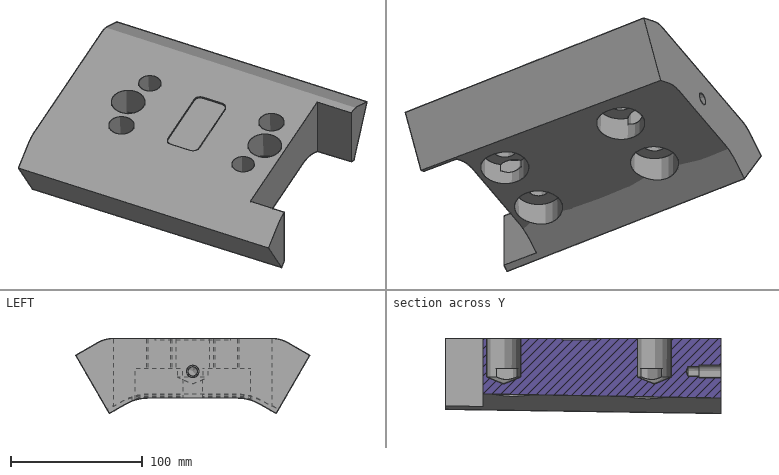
import cadquery as cq
import math

length = 209.6
width = 178.0
height = 57.2
flank_angle = math.radians(30.0)

top_flat_half = 60.0
top_bend_radius = 25.0
underside_depth = 45.5
underside_bend_radius = 35.0
underside_draft = math.radians(1.0)

notch_start = 181.1
notch_half_width = 60.4

recess_center_x = 108.0
recess_length = 25.8
recess_width = 57.5
recess_depth = 1.3
recess_corner_radius = 5.0

blind_hole_offset = 57.2
blind_hole_diameter = 25.5
blind_hole_depth = 29.4
bolt_offset_x = 51.0
bolt_offset_y = 25.5
small_bolt_diameter = 17.0
large_bolt_diameter = 19.3
counterbore_diameter = 36.5
counterbore_ceiling = 23.0

end_hole_diameter = 9.5
end_hole_core_diameter = 7.1
end_hole_wide_depth = 16.8
end_hole_level = 25.2
end_hole_depth = 25.2

drill_tip_angle = math.radians(135.0)

half_width = width / 2
slope = math.tan(flank_angle)


def bend_points(flat_half, flat_z, radius):
    """Middle and end of the bend that leads from a flat to its +Y flank."""
    def on_bend(angle):
        return flat_half + radius * math.sin(angle), flat_z - radius * (1 - math.cos(angle))
    return on_bend(flank_angle / 2), on_bend(flank_angle)


def mirrored(point):
    """The same point on the -Y side."""
    return -point[0], point[1]


def side_wall_corners():
    """Upper and lower corner of the +Y side wall at the X = 0 end."""
    _, bend_end = bend_points(top_flat_half, 0, top_bend_radius)
    shoulder = (half_width, bend_end[1] - (half_width - bend_end[0]) * slope)
    foot = (half_width - (height + shoulder[1]) * slope, -height)
    return shoulder, foot


def solid_block():
    """Block with a bent top and inclined side walls square to the flanks."""
    bend_middle, bend_end = bend_points(top_flat_half, 0, top_bend_radius)
    shoulder, foot = side_wall_corners()
    return (
        cq.Workplane("YZ")
        .moveTo(-top_flat_half, 0)
        .lineTo(top_flat_half, 0)
        .threePointArc(bend_middle, bend_end)
        .lineTo(*shoulder)
        .lineTo(*foot)
        .lineTo(*mirrored(foot))
        .lineTo(*mirrored(shoulder))
        .lineTo(*mirrored(bend_end))
        .threePointArc(mirrored(bend_middle), (-top_flat_half, 0))
        .close()
        .extrude(length)
    )


def underside_wire(x, flat_half):
    """Closed outline of the hollow below the block at position x."""
    rise = x * math.tan(underside_draft)
    flat_z = rise - underside_depth
    radius = underside_bend_radius + rise
    bend_middle, bend_end = bend_points(flat_half, flat_z, radius)
    flank_end = (half_width, bend_end[1] - (half_width - bend_end[0]) * slope)
    floor = (half_width, -2 * height)
    wire = (
        cq.Workplane("YZ", origin=(x, 0, 0))
        .moveTo(-flat_half, flat_z)
        .lineTo(flat_half, flat_z)
        .threePointArc(bend_middle, bend_end)
        .lineTo(*flank_end)
        .lineTo(*floor)
        .lineTo(*mirrored(floor))
        .lineTo(*mirrored(flank_end))
        .lineTo(*mirrored(bend_end))
        .threePointArc(mirrored(bend_middle), (-flat_half, flat_z))
        .close()
    )
    return wire.val()


def underside_hollow():
    """Drafted hollow whose flat and flanks all lean by the draft angle."""
    _, foot = side_wall_corners()
    bend_apex_y = foot[0] - (height - underside_depth) / slope
    flat_half = bend_apex_y - underside_bend_radius * math.tan(flank_angle / 2)
    wires = [underside_wire(x, flat_half) for x in (0, length)]
    return cq.Workplane(cq.Solid.makeLoft(wires, True))


def drilled_hole(diameter, depth):
    """Blind hole along -Z from the origin, with a conical drill tip."""
    radius = diameter / 2
    tip_depth = depth + radius / math.tan(drill_tip_angle / 2)
    return (
        cq.Workplane("XZ")
        .polyline([(0, 0), (radius, 0), (radius, -depth), (0, -tip_depth)])
        .close()
        .revolve(360, (0, 0), (0, 1))
    )


def end_notch():
    """Cutter for the notch, open at the end, top and bottom."""
    return cq.Workplane("XY").box(
        length - notch_start, 2 * notch_half_width, 2 * height, centered=(False, True, True)
    ).translate((notch_start, 0, -height))


def recess():
    """Cutter for the round-cornered recess."""
    return (
        cq.Workplane("XY", origin=(recess_center_x, 0, 0))
        .rect(recess_length, recess_width)
        .extrude(-recess_depth)
        .edges("|Z")
        .fillet(recess_corner_radius)
    )


def bolt_hole(x, y, diameter):
    """Through hole counterbored from below."""
    bore = cq.Workplane("XY", origin=(x, y, 0)).circle(diameter / 2).extrude(-height)
    counterbore = (
        cq.Workplane("XY", origin=(x, y, -counterbore_ceiling))
        .circle(counterbore_diameter / 2)
        .extrude(counterbore_ceiling - height)
    )
    return bore.union(counterbore)


def end_hole():
    """Blind hole along X that narrows to a core before its drill tip."""
    wide_part = cq.Workplane("XY").circle(end_hole_diameter / 2).extrude(-end_hole_wide_depth)
    hole = drilled_hole(end_hole_core_diameter, end_hole_depth).union(wide_part)
    return hole.rotate((0, 0, 0), (0, 1, 0), -90).translate((0, 0, -end_hole_level))


result = solid_block().cut(underside_hollow()).cut(end_notch()).cut(recess()).cut(end_hole())

for side in (-1, 1):
    blind_hole = drilled_hole(blind_hole_diameter, blind_hole_depth)
    result = result.cut(blind_hole.translate((recess_center_x + side * blind_hole_offset, 0, 0)))
    bolt_x = recess_center_x + side * bolt_offset_x
    result = result.cut(bolt_hole(bolt_x, side * bolt_offset_y, large_bolt_diameter))
    result = result.cut(bolt_hole(bolt_x, -side * bolt_offset_y, small_bolt_diameter))